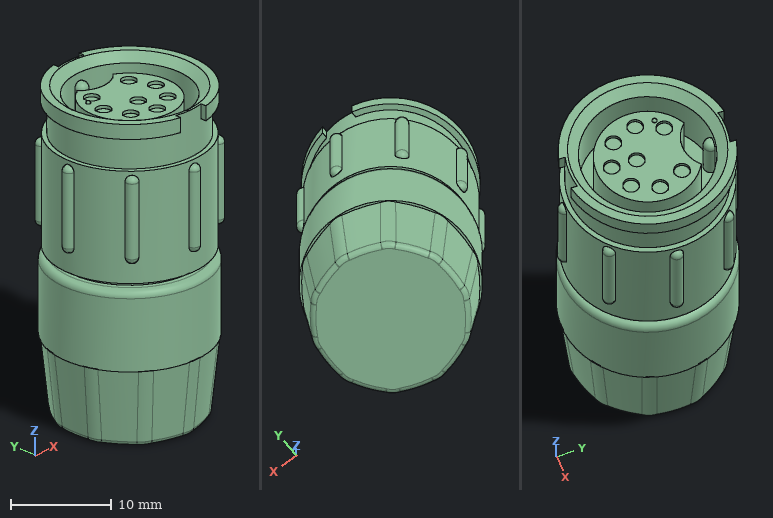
import cadquery as cq
import math

total_height = 36.15
grip_top = 8.8
nut_top = 17.75
coupling_bottom = 18.43
coupling_top = 30.9
flange_bottom = 34.48

nut_radius = 9.15
nut_fillet = 0.83
groove_radius = 7.77
coupling_radius = 8.82
neck_radius = 8.28
flange_radius = 8.93

grip_sides = 10
ridge_top_radius = 9.07
ridge_bottom_radius = 8.13
ridge_half_width = 0.75
ridge_height = 0.12
panel_bulge = 0.125
grip_end_fillet = 0.58

rib_count = 8
rib_radius = 0.7
rib_axis_radius = 8.8
rib_bottom = 21.4
rib_top = 29.78

notch_width = 3.65

bore_radius = 6.9
bore_mouth_radius = 8.0
bore_mouth_depth = 0.9
bore_depth = 6.35
bore_floor = total_height - bore_depth

pin_radius = 0.75
pin_axis_y = 6.65
pin_straight_top = 33.6

insert_radius = 5.42
insert_top = 34.85
clearance_radius = 3.58
clearance_axis_y = 7.23

contact_radius = 0.83
contact_depth = 0.35
contact_ring_radius = 3.8
contact_places = 8
pin_place = 2
inner_contact_y = -1.15

mark_radius = 0.25
mark_x = -3.83
mark_y = 2.05


def cylinder(radius, bottom, top, x=0, y=0):
    """Upright cylinder between two heights."""
    return cq.Workplane("XY", origin=(x, y, bottom)).circle(radius).extrude(top - bottom)


def ball(radius, x, y, z):
    return cq.Workplane("XY", origin=(x, y, z)).sphere(radius)


def polar_point(radius, angle):
    return radius * math.cos(angle), radius * math.sin(angle)


def grip_section(plane, ridge_radius):
    """Closed outline of the grip, alternating ridge arcs and panel arcs, with one ridge facing -Y."""
    pitch = 2 * math.pi / grip_sides
    edge_depth = ridge_radius - ridge_height
    edge_radius = math.hypot(edge_depth, ridge_half_width)
    edge_angle = math.atan2(ridge_half_width, edge_depth)
    panel_radius = edge_radius * math.cos(pitch / 2 - edge_angle) + panel_bulge

    first_ridge = -math.pi / 2
    section = plane.moveTo(*polar_point(edge_radius, first_ridge - edge_angle))
    for side in range(grip_sides):
        ridge = first_ridge + side * pitch
        section = section.threePointArc(
            polar_point(ridge_radius, ridge), polar_point(edge_radius, ridge + edge_angle)
        )
        section = section.threePointArc(
            polar_point(panel_radius, ridge + pitch / 2), polar_point(edge_radius, ridge + pitch - edge_angle)
        )
    return section.close()


def make_grip():
    """Ridged taper, narrowing downwards, with a rounded end."""
    bottom = grip_section(cq.Workplane("XY"), ridge_bottom_radius)
    grip = grip_section(bottom.workplane(offset=grip_top), ridge_top_radius).loft(ruled=True)
    return grip.faces("<Z").edges().fillet(grip_end_fillet)


def make_body():
    """Nut, groove, coupling sleeve, neck and flange stacked on the grip."""
    nut = cylinder(nut_radius, grip_top, nut_top).faces(">Z").edges().fillet(nut_fillet)
    groove = cylinder(groove_radius, nut_top, coupling_bottom)
    coupling = cylinder(coupling_radius, coupling_bottom, coupling_top)
    neck = cylinder(neck_radius, coupling_top, total_height)
    return make_grip().union(nut).union(groove).union(coupling).union(neck).union(make_flange())


def make_flange():
    """Bayonet flange, interrupted down to the neck by two notches."""
    flange = cylinder(flange_radius, flange_bottom, total_height)
    notches = (
        cq.Workplane("XY", origin=(0, 0, flange_bottom))
        .rect(notch_width, 2 * flange_radius)
        .extrude(total_height - flange_bottom)
    )
    return flange.cut(notches)


def make_rib(angle):
    x, y = polar_point(rib_axis_radius, angle)
    rib = cylinder(rib_radius, rib_bottom, rib_top, x, y)
    return rib.union(ball(rib_radius, x, y, rib_bottom)).union(ball(rib_radius, x, y, rib_top))


def make_socket():
    """Bore with a conical mouth, as a solid to cut away."""
    return (
        cq.Workplane("XZ")
        .moveTo(0, bore_floor)
        .lineTo(bore_radius, bore_floor)
        .lineTo(bore_radius, total_height - bore_mouth_depth)
        .lineTo(bore_mouth_radius, total_height)
        .lineTo(0, total_height)
        .close()
        .revolve(360, (0, 0), (0, 1))
    )


def make_pin():
    pin = cylinder(pin_radius, bore_floor, pin_straight_top, 0, pin_axis_y)
    return pin.union(ball(pin_radius, 0, pin_axis_y, pin_straight_top))


def make_insert():
    """Contact insert with its pin clearance, contact holes and mark."""
    insert = cylinder(insert_radius, bore_floor, insert_top)
    insert = insert.cut(cylinder(clearance_radius, bore_floor, insert_top, 0, clearance_axis_y))

    centres = [(0, inner_contact_y)]
    for place in range(contact_places):
        if place != pin_place:
            centres.append(polar_point(contact_ring_radius, 2 * math.pi * place / contact_places))
    for x, y in centres:
        insert = insert.cut(cylinder(contact_radius, insert_top - contact_depth, insert_top, x, y))

    return insert.union(ball(mark_radius, mark_x, mark_y, insert_top))


body = make_body()
for index in range(rib_count):
    body = body.union(make_rib(2 * math.pi * index / rib_count))

result = body.cut(make_socket()).union(make_pin()).union(make_insert())